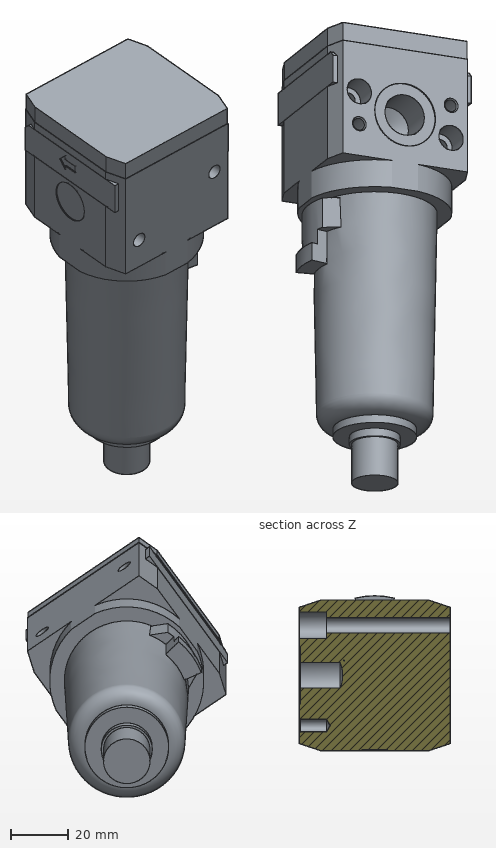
import cadquery as cq
import math


TOTAL_HEIGHT = 159.5
CAP_HEIGHT = 6.7
HEAD_TOP_Z = TOTAL_HEIGHT - CAP_HEIGHT
HEAD_BOTTOM_Z = 110.7
COLLAR_BOTTOM_Z = 100.6
BOWL_BOTTOM_Z = 20.1
DRAIN_FLANGE_BOTTOM_Z = 17.2
DRAIN_NECK_BOTTOM_Z = 14.4
PORT_Z = 128.5

HEAD_WIDTH = 53.0
HEAD_DEPTH = 52.8
CAP_INSET = 0.2
CORNER_CUT_X = 7.7
CORNER_CUT_Y = 2.5

PLATE_WIDTH = 47.5
PLATE_HEIGHT = 12.0
PLATE_TOP_Z = 149.6
PLATE_CORNER_CUT = 1.9
PLATE_PROUD = 0.08
PLATE_EMBED = 3.2

ARROW_TIP_X = -5.5
ARROW_NECK_X = -2.5
ARROW_TAIL_X = 2.7
ARROW_HEAD_HALF = 3.0
ARROW_SHAFT_HALF = 1.5
ARROW_RISE = 0.8
RECESS_DEPTH = 0.5

PORT_DIAMETER = 15.0
PORT_DEPTH = 14.4
PORT_FACE_DIAMETER = 23.1
DRILL_POINT_ANGLE = 118.0
HOLE_OFFSET_Y = 17.5
HOLE_OFFSET_Z = 6.0
THROUGH_DIAMETER = 5.3
COUNTERBORE_DIAMETER = 9.3
COUNTERBORE_DEPTH = 9.5
TAPPED_DIAMETER = 4.3
TAPPED_DEPTH = 9.5
TAPPED_CHAMFER = 0.5

COLLAR_RADIUS = 27.0
BOWL_TOP_RADIUS = 21.9
BOWL_BOTTOM_RADIUS = 20.4
BOWL_EDGE_RADIUS = 5.7
DRAIN_FLANGE_RADIUS = 14.7
DRAIN_NECK_RADIUS = 9.0
DRAIN_STEM_RADIUS = 8.1

LATCH_TOP_Z = 99.8
LATCH_BLOCK_BOTTOM_Z = 88.8
LATCH_LEVER_BOTTOM_Z = 83.4
LATCH_BOTTOM_Z = 76.9
LATCH_RADIUS = 25.5
LATCH_THUMB_RADIUS = 27.9
BLOCK_INNER_Y = 17.5
BLOCK_INNER_HALF = 12.1
BLOCK_OUTER_HALF = 7.0
LEVER_INNER_Y = 20.7
LEVER_INNER_HALF = 5.7
LEVER_OUTER_HALF = 7.0


def head_outline(bottom_z):
    """Closed rectangle with the four shallow corner cuts of the head."""
    half_x = HEAD_WIDTH / 2
    half_y = HEAD_DEPTH / 2
    flat_x = half_x - CORNER_CUT_X
    flat_y = half_y - CORNER_CUT_Y
    outline = [
        (half_x, -flat_y), (half_x, flat_y), (flat_x, half_y), (-flat_x, half_y),
        (-half_x, flat_y), (-half_x, -flat_y), (-flat_x, -half_y), (flat_x, -half_y),
    ]
    return cq.Workplane("XY", origin=(0, 0, bottom_z)).polyline(outline).close()


def head():
    """Main block that carries the ports and plates."""
    return head_outline(HEAD_BOTTOM_Z).extrude(HEAD_TOP_Z - HEAD_BOTTOM_Z)


def cap():
    """Lid on the head, set in slightly all round."""
    return head_outline(HEAD_TOP_Z).offset2D(-CAP_INSET, "intersection").extrude(CAP_HEIGHT)


def collar():
    """Round collar flattened where it meets the planes of the head sides."""
    height = HEAD_BOTTOM_Z - COLLAR_BOTTOM_Z
    base = cq.Workplane("XY", origin=(0, 0, COLLAR_BOTTOM_Z))
    square = base.rect(HEAD_WIDTH, HEAD_DEPTH).extrude(height)
    return base.circle(COLLAR_RADIUS).extrude(height).intersect(square)


def bowl_and_drain():
    """Tapered bowl with a rounded lower edge, stepping down to the drain stem."""
    round_top_z = BOWL_BOTTOM_Z + BOWL_EDGE_RADIUS
    round_center_r = BOWL_BOTTOM_RADIUS - BOWL_EDGE_RADIUS
    diagonal = BOWL_EDGE_RADIUS * math.sqrt(0.5)
    profile = (
        cq.Workplane("XZ")
        .moveTo(0, COLLAR_BOTTOM_Z)
        .lineTo(BOWL_TOP_RADIUS, COLLAR_BOTTOM_Z)
        .lineTo(BOWL_BOTTOM_RADIUS, round_top_z)
        .threePointArc((round_center_r + diagonal, round_top_z - diagonal), (round_center_r, BOWL_BOTTOM_Z))
        .lineTo(DRAIN_FLANGE_RADIUS, DRAIN_FLANGE_BOTTOM_Z)
        .lineTo(DRAIN_NECK_RADIUS, DRAIN_FLANGE_BOTTOM_Z)
        .lineTo(DRAIN_NECK_RADIUS, DRAIN_NECK_BOTTOM_Z)
        .lineTo(DRAIN_STEM_RADIUS, DRAIN_NECK_BOTTOM_Z)
        .lineTo(DRAIN_STEM_RADIUS, 0)
        .lineTo(0, 0)
        .close()
    )
    return profile.revolve(360, (0, 0, 0), (0, 1, 0))


def name_plate():
    """Front plate with its upper -X corner cut off."""
    left = -PLATE_WIDTH / 2
    right = PLATE_WIDTH / 2
    bottom_z = PLATE_TOP_Z - PLATE_HEIGHT
    outline = [
        (left, bottom_z), (right, bottom_z), (right, PLATE_TOP_Z),
        (left + PLATE_CORNER_CUT, PLATE_TOP_Z), (left, PLATE_TOP_Z - PLATE_CORNER_CUT),
    ]
    front_y = -HEAD_DEPTH / 2 - PLATE_PROUD
    plane = cq.Workplane("XZ", origin=(0, front_y, 0))
    return plane.polyline(outline).close().extrude(-PLATE_EMBED)


def flow_arrow():
    """Cutter for the arrow in the front plate."""
    upper = [
        (ARROW_TIP_X, 0), (ARROW_NECK_X, ARROW_HEAD_HALF),
        (ARROW_NECK_X, ARROW_SHAFT_HALF), (ARROW_TAIL_X, ARROW_SHAFT_HALF),
    ]
    lower = [(x, -z) for x, z in reversed(upper[1:])]
    front_y = -HEAD_DEPTH / 2 - PLATE_PROUD
    arrow_z = PLATE_TOP_Z - PLATE_HEIGHT / 2 + ARROW_RISE
    plane = cq.Workplane("XZ", origin=(0, front_y, arrow_z))
    return plane.polyline(upper + lower).close().extrude(-RECESS_DEPTH)


def front_recess():
    """Cutter for the shallow round recess in the front face."""
    plane = cq.Workplane("XZ", origin=(0, -HEAD_DEPTH / 2, PORT_Z))
    return plane.circle(PORT_DIAMETER / 2).extrude(-RECESS_DEPTH)


def side_plane(y, z):
    """Workplane on the -X face whose normal points into the head."""
    return cq.Workplane("YZ", origin=(-HEAD_WIDTH / 2, y, z))


def drilled_hole(y, z, diameter, depth):
    """Blind hole cutter from the -X face, ending in a drill point."""
    radius = diameter / 2
    point_length = radius / math.tan(math.radians(DRILL_POINT_ANGLE / 2))
    profile = [(0, 0), (depth + point_length, 0), (depth, radius), (0, radius)]
    cutter = cq.Workplane("XY").polyline(profile).close().revolve(360, (0, 0, 0), (1, 0, 0))
    return cutter.translate((-HEAD_WIDTH / 2, y, z))


def inlet_port():
    """Drilled port with a shallow round seal face."""
    seal_face = side_plane(0, PORT_Z).circle(PORT_FACE_DIAMETER / 2).extrude(RECESS_DEPTH)
    return drilled_hole(0, PORT_Z, PORT_DIAMETER, PORT_DEPTH).union(seal_face)


def mounting_hole(y, z):
    """Counterbored hole running through the head along X."""
    bore = side_plane(y, z).circle(THROUGH_DIAMETER / 2).extrude(HEAD_WIDTH)
    counterbore = side_plane(y, z).circle(COUNTERBORE_DIAMETER / 2).extrude(COUNTERBORE_DEPTH)
    return bore.union(counterbore)


def tapped_hole(y, z):
    """Blind hole with a chamfered mouth."""
    radius = TAPPED_DIAMETER / 2
    mouth = (
        side_plane(y, z)
        .circle(radius + TAPPED_CHAMFER)
        .workplane(offset=TAPPED_CHAMFER)
        .circle(radius)
        .loft()
    )
    return drilled_hole(y, z, TAPPED_DIAMETER, TAPPED_DEPTH).union(mouth)


def latch_piece(inner_y, inner_half, outer_half, outer_radius, bottom_z, top_z):
    """Wedge trimmed by a cylinder about the bowl axis; outer_half is its half width at the thumb radius."""
    base = cq.Workplane("XY", origin=(0, 0, bottom_z))
    outline = [
        (-inner_half, inner_y), (-outer_half, LATCH_THUMB_RADIUS),
        (outer_half, LATCH_THUMB_RADIUS), (inner_half, inner_y),
    ]
    wedge = base.polyline(outline).close().extrude(top_z - bottom_z)
    return wedge.intersect(base.circle(outer_radius).extrude(top_z - bottom_z))


def latch():
    """Wide block, narrow lever below it and a thicker thumb rest at the end."""
    block_shape = (BLOCK_INNER_Y, BLOCK_INNER_HALF, BLOCK_OUTER_HALF)
    lever_shape = (LEVER_INNER_Y, LEVER_INNER_HALF, LEVER_OUTER_HALF)
    block = latch_piece(*block_shape, LATCH_RADIUS, LATCH_BLOCK_BOTTOM_Z, LATCH_TOP_Z)
    lever = latch_piece(*lever_shape, LATCH_RADIUS, LATCH_LEVER_BOTTOM_Z, LATCH_BLOCK_BOTTOM_Z)
    thumb_rest = latch_piece(*lever_shape, LATCH_THUMB_RADIUS, LATCH_BOTTOM_Z, LATCH_LEVER_BOTTOM_Z)
    return block.union(lever).union(thumb_rest)


front_plate = name_plate()
back_plate = front_plate.mirror("XZ")

result = (
    head()
    .union(cap())
    .union(collar())
    .union(bowl_and_drain())
    .union(front_plate)
    .union(back_plate)
    .union(latch())
    .cut(flow_arrow())
    .cut(front_recess())
    .cut(inlet_port())
)

for side in (1, -1):
    hole_z = PORT_Z + side * HOLE_OFFSET_Z
    result = result.cut(mounting_hole(side * HOLE_OFFSET_Y, hole_z))
    result = result.cut(tapped_hole(-side * HOLE_OFFSET_Y, hole_z))